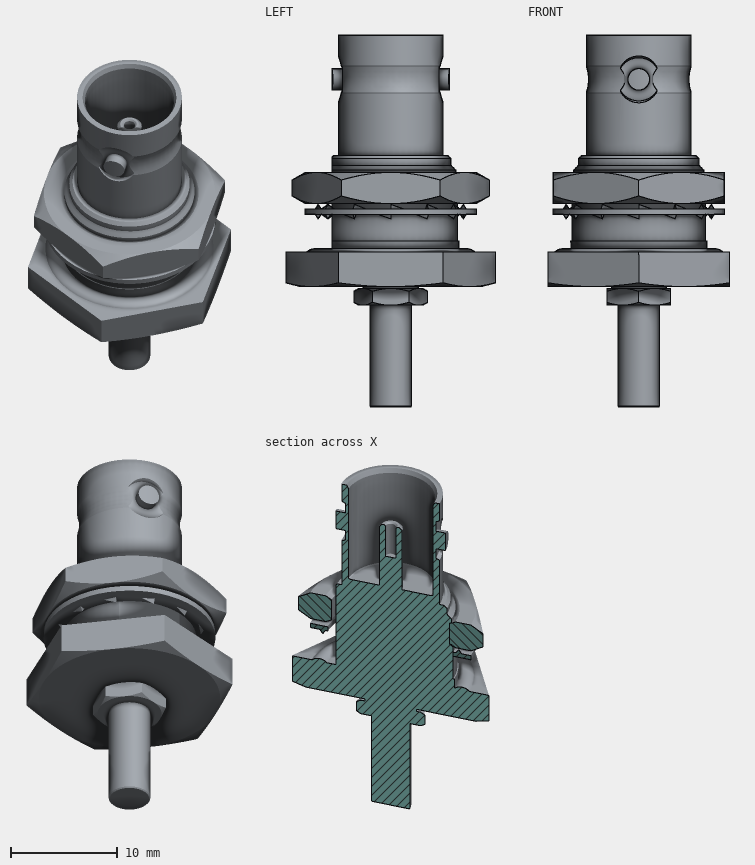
import cadquery as cq
import math

TOTAL_HEIGHT = 34.85

TUBE_RADIUS = 1.95
TUBE_EDGE_CHAMFER = 0.1
CABLE_HEX_FLATS = 6.0
CABLE_HEX_BOTTOM = 9.55
CABLE_HEX_TOP = 11.1
NECK_RADIUS = 2.58

FLANGE_FLATS = 17.0
FLANGE_BOTTOM = 11.3
FLANGE_TOP = 14.53
SEAL_OUTER_RADIUS = 7.88
SEAL_HEIGHT = 0.3

SHOULDER_RADIUS = 6.38
SHOULDER_TOP = 15.58
THREAD_RADIUS = 6.27
THREAD_ROOT_RADIUS = 5.9
LEAD_IN_RADIUS = 6.1
BARREL_FLAT_Y = 5.5

COLLAR_RADIUS = 5.65
COLLAR_BOTTOM = 22.65
COLLAR_TOP = 23.6
COLLAR_CHAMFER = 0.3

SLEEVE_RADIUS = 4.9
GROOVE_RADIUS = 4.7
GROOVE_CENTER_Z = 30.7
GROOVE_WIDTH = 2.5
BORE_RADIUS = 4.18
BORE_MOUTH_RADIUS = 4.4
BORE_MOUTH_DEPTH = 0.42
BORE_FLOOR_Z = 24.4
BORE_FLOOR_RADIUS = 4.05
BORE_FLOOR_TAPER = 0.07

STUD_RADIUS = 1.0
STUD_REACH = 5.5
SPOT_FACE_Y = 4.53
SPOT_FACE_FLOOR_RADIUS = 2.02
SPOT_FACE_RIM_RADIUS = 2.2

CONTACT_RADIUS = 1.15
CONTACT_TIP_CHAMFER = 0.28
CONTACT_TOP = 31.25
CONTACT_HOLE_RADIUS = 0.52
CONTACT_HOLE_DEPTH = 3.5
CONTACT_HOLE_CHAMFER = 0.15

NUT_FLATS = 16.03
NUT_BOTTOM = 19.05
NUT_TOP = 22.0
NUT_BORE_MOUTH_RADIUS = 6.48
NUT_BORE_CHAMFER_DEPTH = 0.35

WASHER_RADIUS = 8.05
WASHER_BOTTOM = 18.05
WASHER_TOP = 18.58
TOOTH_COUNT = 12
TOOTH_INNER_RADIUS = 6.5
TOOTH_OUTER_RADIUS = 7.07
TOOTH_HEIGHT = 0.42
TOOTH_LENGTH = 1.2

HEX_SIDES = 6
HEX_CHAMFER_ANGLE = 30.0
FLANGE_CHAMFER_ANGLE = 15.0


def cylinder(radius, bottom, top):
    return cq.Workplane("XY").workplane(offset=bottom).circle(radius).extrude(top - bottom)


def hex_prism(flats, bottom, top, chamfer_angle, chamfer_top=True):
    """Hexagon with flats facing -X and +X and conical chamfers on its corners."""
    flat_radius = flats / 2
    corner_radius = flat_radius / math.cos(math.pi / HEX_SIDES)
    drop = (corner_radius - flat_radius) * math.tan(math.radians(chamfer_angle))
    prism = (
        cq.Workplane("XY")
        .workplane(offset=bottom)
        .polygon(HEX_SIDES, 2 * corner_radius)
        .extrude(top - bottom)
        .rotate((0, 0, 0), (0, 0, 1), 180 / HEX_SIDES)
    )
    envelope = cq.Workplane("XZ").moveTo(0, bottom).lineTo(flat_radius, bottom)
    envelope = envelope.lineTo(corner_radius, bottom + drop)
    if chamfer_top:
        envelope = envelope.lineTo(corner_radius, top - drop).lineTo(flat_radius, top)
    else:
        envelope = envelope.lineTo(corner_radius, top)
    envelope = envelope.lineTo(0, top).close().revolve(360, (0, 0, 0), (0, 1, 0))
    return prism.intersect(envelope)


def make_nut_bore():
    """Round thread hole of the nut with a conical chamfer at each mouth."""
    return (
        cq.Workplane("XZ")
        .moveTo(0, NUT_BOTTOM)
        .lineTo(NUT_BORE_MOUTH_RADIUS, NUT_BOTTOM)
        .lineTo(THREAD_ROOT_RADIUS, NUT_BOTTOM + NUT_BORE_CHAMFER_DEPTH)
        .lineTo(THREAD_ROOT_RADIUS, NUT_TOP - NUT_BORE_CHAMFER_DEPTH)
        .lineTo(NUT_BORE_MOUTH_RADIUS, NUT_TOP)
        .lineTo(0, NUT_TOP)
        .close()
        .revolve(360, (0, 0, 0), (0, 1, 0))
    )


def make_nut():
    blank = hex_prism(NUT_FLATS, NUT_BOTTOM, NUT_TOP, HEX_CHAMFER_ANGLE)
    return blank.cut(make_nut_bore())


def make_cable_end():
    tube = cylinder(TUBE_RADIUS, 0, CABLE_HEX_BOTTOM).faces("<Z").chamfer(TUBE_EDGE_CHAMFER)
    cable_hex = hex_prism(CABLE_HEX_FLATS, CABLE_HEX_BOTTOM, CABLE_HEX_TOP, HEX_CHAMFER_ANGLE)
    neck = cylinder(NECK_RADIUS, CABLE_HEX_TOP, FLANGE_BOTTOM)
    return tube.union(cable_hex).union(neck)


def make_flange():
    flange = hex_prism(
        FLANGE_FLATS, FLANGE_BOTTOM, FLANGE_TOP, FLANGE_CHAMFER_ANGLE, chamfer_top=False
    )
    seal_middle = (SHOULDER_RADIUS + SEAL_OUTER_RADIUS) / 2
    seal = (
        cq.Workplane("XZ")
        .moveTo(SHOULDER_RADIUS, FLANGE_TOP)
        .threePointArc((seal_middle, FLANGE_TOP + SEAL_HEIGHT), (SEAL_OUTER_RADIUS, FLANGE_TOP))
        .close()
        .revolve(360, (0, 0, 0), (0, 1, 0))
    )
    return flange.union(seal)


def make_barrel():
    """Shoulder, thread and collar; the thread is at root size where the nut sits."""
    root_bottom = NUT_BOTTOM + NUT_BORE_CHAMFER_DEPTH
    root_top = NUT_TOP - NUT_BORE_CHAMFER_DEPTH
    chamfer_slope = NUT_BORE_CHAMFER_DEPTH / (NUT_BORE_MOUTH_RADIUS - THREAD_ROOT_RADIUS)
    thread_runout = (THREAD_RADIUS - THREAD_ROOT_RADIUS) * chamfer_slope
    lead_in_runout = (LEAD_IN_RADIUS - THREAD_ROOT_RADIUS) * chamfer_slope
    barrel = (
        cq.Workplane("XZ")
        .moveTo(0, FLANGE_TOP)
        .lineTo(SHOULDER_RADIUS, FLANGE_TOP)
        .lineTo(SHOULDER_RADIUS, SHOULDER_TOP)
        .lineTo(THREAD_RADIUS, SHOULDER_TOP)
        .lineTo(THREAD_RADIUS, root_bottom - thread_runout)
        .lineTo(THREAD_ROOT_RADIUS, root_bottom)
        .lineTo(THREAD_ROOT_RADIUS, root_top)
        .lineTo(LEAD_IN_RADIUS, root_top + lead_in_runout)
        .lineTo(LEAD_IN_RADIUS, COLLAR_BOTTOM - (LEAD_IN_RADIUS - COLLAR_RADIUS))
        .lineTo(COLLAR_RADIUS, COLLAR_BOTTOM)
        .lineTo(COLLAR_RADIUS, COLLAR_TOP - COLLAR_CHAMFER)
        .lineTo(COLLAR_RADIUS - COLLAR_CHAMFER, COLLAR_TOP)
        .lineTo(0, COLLAR_TOP)
        .close()
        .revolve(360, (0, 0, 0), (0, 1, 0))
    )
    flat_cutter = (
        cq.Workplane("XY")
        .workplane(offset=FLANGE_TOP)
        .center(0, BARREL_FLAT_Y + SHOULDER_RADIUS)
        .rect(2 * SHOULDER_RADIUS, 2 * SHOULDER_RADIUS)
        .extrude(COLLAR_TOP - FLANGE_TOP)
    )
    return barrel.cut(flat_cutter)


def make_sleeve():
    """Grooved outer sleeve with a blind bore tapered at its mouth and floor."""
    groove_bottom = GROOVE_CENTER_Z - GROOVE_WIDTH / 2
    groove_top = GROOVE_CENTER_Z + GROOVE_WIDTH / 2
    return (
        cq.Workplane("XZ")
        .moveTo(0, COLLAR_TOP)
        .lineTo(SLEEVE_RADIUS, COLLAR_TOP)
        .lineTo(SLEEVE_RADIUS, groove_bottom)
        .threePointArc((GROOVE_RADIUS, GROOVE_CENTER_Z), (SLEEVE_RADIUS, groove_top))
        .lineTo(SLEEVE_RADIUS, TOTAL_HEIGHT)
        .lineTo(BORE_MOUTH_RADIUS, TOTAL_HEIGHT)
        .lineTo(BORE_RADIUS, TOTAL_HEIGHT - BORE_MOUTH_DEPTH)
        .lineTo(BORE_RADIUS, BORE_FLOOR_Z + BORE_FLOOR_TAPER)
        .lineTo(BORE_FLOOR_RADIUS, BORE_FLOOR_Z)
        .lineTo(0, BORE_FLOOR_Z)
        .close()
        .revolve(360, (0, 0, 0), (0, 1, 0))
    )


def add_bayonet_studs(sleeve):
    """Spot faces and studs; the stud ends are rounded about the connector axis."""
    reach_limit = cylinder(STUD_REACH, COLLAR_TOP, TOTAL_HEIGHT)
    root_y = (BORE_RADIUS + SPOT_FACE_Y) / 2
    rim_slope = (SPOT_FACE_RIM_RADIUS - SPOT_FACE_FLOOR_RADIUS) / (SLEEVE_RADIUS - SPOT_FACE_Y)
    cutter_depth = STUD_REACH - SPOT_FACE_Y
    cutter_outer_radius = SPOT_FACE_FLOOR_RADIUS + cutter_depth * rim_slope
    spot_face = cq.Workplane(
        cq.Solid.makeCone(
            SPOT_FACE_FLOOR_RADIUS,
            cutter_outer_radius,
            cutter_depth,
            pnt=cq.Vector(0, -SPOT_FACE_Y, GROOVE_CENTER_Z),
            dir=cq.Vector(0, -1, 0),
        )
    )
    stud_start = cq.Workplane("XZ", origin=(0, -root_y, GROOVE_CENTER_Z))
    stud = stud_start.circle(STUD_RADIUS).extrude(STUD_REACH - root_y).intersect(reach_limit)
    for turn in (0, 180):
        sleeve = sleeve.cut(spot_face.rotate((0, 0, 0), (0, 0, 1), turn))
        sleeve = sleeve.union(stud.rotate((0, 0, 0), (0, 0, 1), turn))
    return sleeve


def make_center_contact():
    """Hollow contact standing on the bore floor, with a tapered tip and a countersunk hole."""
    hole_floor = CONTACT_TOP - CONTACT_HOLE_DEPTH
    return (
        cq.Workplane("XZ")
        .moveTo(0, BORE_FLOOR_Z)
        .lineTo(CONTACT_RADIUS, BORE_FLOOR_Z)
        .lineTo(CONTACT_RADIUS, CONTACT_TOP - CONTACT_TIP_CHAMFER)
        .lineTo(CONTACT_RADIUS - CONTACT_TIP_CHAMFER, CONTACT_TOP)
        .lineTo(CONTACT_HOLE_RADIUS + CONTACT_HOLE_CHAMFER, CONTACT_TOP)
        .lineTo(CONTACT_HOLE_RADIUS, CONTACT_TOP - CONTACT_HOLE_CHAMFER)
        .lineTo(CONTACT_HOLE_RADIUS, hole_floor)
        .lineTo(0, hole_floor)
        .close()
        .revolve(360, (0, 0, 0), (0, 1, 0))
    )


def make_connector():
    sleeve = add_bayonet_studs(make_sleeve())
    body = make_cable_end().union(make_flange()).union(make_barrel())
    return body.union(sleeve).union(make_center_contact())


def make_tooth_half(base_z, rise, length):
    """Pyramid on the washer face at -Y: a radial triangle running out to a point along X."""
    middle = (TOOTH_INNER_RADIUS + TOOTH_OUTER_RADIUS) / 2
    inner = cq.Vector(0, -TOOTH_INNER_RADIUS, base_z)
    outer = cq.Vector(0, -TOOTH_OUTER_RADIUS, base_z)
    peak = cq.Vector(0, -middle, base_z + rise)
    tip = cq.Vector(length, -middle, base_z)
    corner_sets = [(inner, outer, peak), (inner, outer, tip), (outer, peak, tip), (peak, inner, tip)]
    faces = [
        cq.Face.makeFromWires(cq.Wire.makePolygon(corners, close=True)) for corners in corner_sets
    ]
    return cq.Workplane(cq.Solid.makeSolid(cq.Shell.makeShell(faces)))


def make_washer():
    """Flat ring with twisted teeth: each rises on one side of a radial line and dips on the other."""
    washer = cylinder(WASHER_RADIUS, WASHER_BOTTOM, WASHER_TOP)
    washer = washer.cut(cylinder(THREAD_RADIUS, WASHER_BOTTOM, WASHER_TOP))
    raised_half = make_tooth_half(WASHER_TOP, TOOTH_HEIGHT, TOOTH_LENGTH)
    dipped_half = make_tooth_half(WASHER_BOTTOM, -TOOTH_HEIGHT, -TOOTH_LENGTH)
    for index in range(TOOTH_COUNT):
        angle = index * 360 / TOOTH_COUNT
        washer = washer.union(raised_half.rotate((0, 0, 0), (0, 0, 1), angle))
        washer = washer.union(dipped_half.rotate((0, 0, 0), (0, 0, 1), angle))
    return washer


connector = make_connector()
nut = make_nut()
washer = make_washer()

result = cq.Compound.makeCompound([body.solids().val() for body in (connector, nut, washer)])